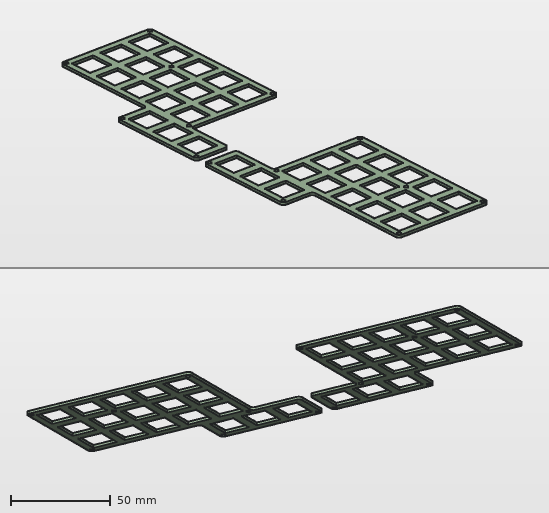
import cadquery as cq

total_length = 260.5
total_width = 79.7
thickness = 1.6

pitch = 19.0
key_opening = 14.0
main_columns = 5
main_rows = 3
thumb_keys = 3
thumb_start_column = 3.5

main_side_rim = 4.2
end_rim = 4.0
thumb_side_rim = 4.5
thumb_top_rim = 3.6

hole_diameter = 2.3
hole_inset = 2.0
middle_hole_column = 1.5
middle_hole_row = 0.5
corner_radius = 2.0

left = -total_length / 2
top = total_width / 2
bottom = -total_width / 2
half_key = key_opening / 2

first_column_x = left + main_side_rim + half_key
first_row_y = top - end_rim - half_key
last_row_y = first_row_y - (main_rows - 1) * pitch
main_right = first_column_x + (main_columns - 1) * pitch + half_key + main_side_rim
main_bottom = last_row_y - half_key - end_rim

first_thumb_x = first_column_x + thumb_start_column * pitch
thumb_row_y = bottom + end_rim + half_key
thumb_left = first_thumb_x - half_key - thumb_side_rim
thumb_right = first_thumb_x + (thumb_keys - 1) * pitch + half_key + thumb_side_rim
thumb_top = thumb_row_y + half_key + thumb_top_rim

main_key_centers = [
    (first_column_x + column * pitch, first_row_y - row * pitch)
    for column in range(main_columns)
    for row in range(main_rows)
]
thumb_key_centers = [(first_thumb_x + key * pitch, thumb_row_y) for key in range(thumb_keys)]

main_hole_centers = [
    (x, y)
    for x in (left + hole_inset, main_right - hole_inset)
    for y in (top - hole_inset, main_bottom + hole_inset)
]
thumb_hole_centers = [
    (x, bottom + hole_inset)
    for x in (thumb_left + hole_inset, thumb_right - hole_inset)
]
middle_hole_center = (first_column_x + middle_hole_column * pitch, first_row_y - middle_hole_row * pitch)


def make_blank():
    """Stepped plate: main key field with the thumb row below its inner end."""
    outline = [
        (left, top),
        (main_right, top),
        (main_right, thumb_top),
        (thumb_right, thumb_top),
        (thumb_right, bottom),
        (thumb_left, bottom),
        (thumb_left, main_bottom),
        (left, main_bottom),
    ]
    blank = cq.Workplane("XY").polyline(outline).close().extrude(thickness)
    return blank.edges("|Z").fillet(corner_radius)


def cut_key_openings(plate):
    """Square through openings of the main field and the thumb row."""
    openings = (
        cq.Workplane("XY")
        .pushPoints(main_key_centers + thumb_key_centers)
        .rect(key_opening, key_opening)
        .extrude(thickness)
    )
    return plate.cut(openings)


def cut_screw_holes(plate):
    """Round through holes in the corners and in the middle of the main field."""
    holes = (
        cq.Workplane("XY")
        .pushPoints(main_hole_centers + thumb_hole_centers + [middle_hole_center])
        .circle(hole_diameter / 2)
        .extrude(thickness)
    )
    return plate.cut(holes)


left_plate = cut_screw_holes(cut_key_openings(make_blank()))
right_plate = left_plate.mirror("YZ")

result = cq.Compound.makeCompound([left_plate.val(), right_plate.val()])